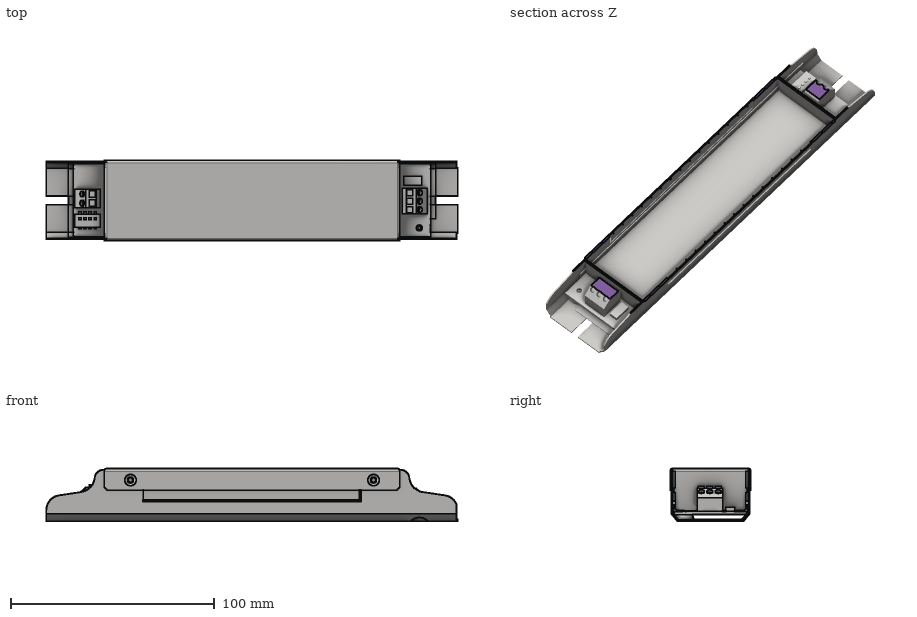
import cadquery as cq
import math

overall_length = 202.0
height = 26.0
cover_width = 39.5
cover_length = 145.0
cover_sheet = 0.6
cover_bend_radius = 1.3
cover_side_bottom = 15.3
cover_side_corner = 1.5
end_wall_sheet = 1.2
end_wall_bottom = 5.3
end_wall_half_width = 17.4
end_wall_corner = 1.0
end_ear_half_height = 1.3
margin_setback = 0.6
margin_bottom = 10.0

tray_sheet = 0.7
tray_bend_width = 3.1
tray_bend_height = 3.7
floor_lip = 0.6
mount_slot_width = 4.1
mount_slot_overlap = 2.0

liner_length = 180.2
liner_sheet = 0.4
liner_top = 8.2
liner_relief_start = 75.8
liner_relief_edge = -8.9

board_length = 175.4
board_width = 35.8
board_bottom = 3.3
board_sheet = 1.6

screw_spacing = 119.3
screw_height = 20.3
screw_head_diameter = 5.6
screw_hole_diameter = 2.9
screw_tip_diameter = 2.2
screw_tip_depth = 0.4

window_half_length = 53.4
window_bottom = 9.7
window_overlap = 1.0
panel_gap = 0.7
panel_recess = 0.3

earth_x = 82.1
earth_y = -13.5
earth_base_radius = 5.8
earth_top_radius = 4.6
earth_pilot_diameter = 1.8
earth_pilot_depth = 0.35

left_connector_outer = -86.9
left_connector_inner = -74.5
output_y_limits = (-3.6, 5.4)
output_top = 16.8
output_poles = 2
right_connector_outer = 85.9
right_connector_inner = 73.7
mains_y_limits = (-6.6, 5.9)
mains_top = 16.2
mains_poles = 3

tray_half = cover_width / 2 - cover_sheet
tray_end = overall_length / 2
tray_wall_right = tray_end - floor_lip
cover_end = cover_length / 2
board_top = board_bottom + board_sheet
cover_underside = height - cover_sheet
window_top = cover_side_bottom + window_overlap
wall_inner = tray_half - tray_sheet


def box(x0, x1, y0, y1, z0, z1):
    """Box given by its limits along each axis."""
    return cq.Workplane("XY").box(x1 - x0, y1 - y0, z1 - z0, centered=False).translate((x0, y0, z0))


def tray_envelope(length, offset, top):
    """Solid bar with sloped lower bends, lying 'offset' inside the outer surface of the tray."""
    side = tray_half - offset
    bend_angle = math.atan2(tray_bend_height, tray_bend_width)
    floor_side = tray_half - tray_bend_width - offset * math.tan(bend_angle / 2)
    bend_top = tray_bend_height + offset * math.tan(math.pi / 4 - bend_angle / 2)
    points = [
        (-side, top), (-side, bend_top), (-floor_side, offset),
        (floor_side, offset), (side, bend_top), (side, top),
    ]
    return cq.Workplane("YZ").polyline(points).close().extrude(length / 2, both=True)


def channel(length, offset, sheet, top):
    """U channel of sheet metal following the tray section."""
    return tray_envelope(length, offset, top).cut(tray_envelope(length, offset + sheet, top))


def tray_silhouette():
    """Stepped outline of the tray side walls, swept across the full width."""
    shoulder_start = (tray_end, 5.8)
    shoulder_mid = (tray_end - 2.2, 10.8)
    shoulder_end = (tray_end - 6.0, 12.8)
    sweep_start = (85.0, 14.3)
    sweep_mid = (79.0, 17.2)
    sweep_end = (77.3, 21.2)
    crown_mid = (76.1, 24.0)
    crown_end = (cover_end, cover_underside)

    def left(point):
        return (-point[0], point[1])

    outline = (
        cq.Workplane("XZ")
        .moveTo(-tray_end, 0)
        .lineTo(tray_end, 0)
        .lineTo(*shoulder_start)
        .threePointArc(shoulder_mid, shoulder_end)
        .lineTo(*sweep_start)
        .threePointArc(sweep_mid, sweep_end)
        .threePointArc(crown_mid, crown_end)
        .lineTo(*left(crown_end))
        .threePointArc(left(crown_mid), left(sweep_end))
        .threePointArc(left(sweep_mid), left(sweep_start))
        .lineTo(*left(shoulder_end))
        .threePointArc(left(shoulder_mid), left(shoulder_start))
        .close()
    )
    return outline.extrude(cover_width, both=True)


def make_tray():
    tray = channel(overall_length, 0, tray_sheet, cover_underside).intersect(tray_silhouette())

    lip_half = tray_half - tray_bend_width
    for y0, y1 in ((-tray_half, -lip_half), (lip_half, tray_half)):
        tray = tray.cut(box(tray_wall_right, tray_end, y0, y1, 0, height))

    slot_radius = mount_slot_width / 2
    slot_centre = liner_length / 2 - mount_slot_overlap
    for side in (-1, 1):
        inner, outer = sorted((side * slot_centre, side * tray_end))
        tray = tray.cut(box(inner, outer, -slot_radius, slot_radius, 0, tray_sheet))
        round_end = cq.Workplane("XY").center(side * slot_centre, 0).circle(slot_radius)
        tray = tray.cut(round_end.extrude(tray_sheet))

    for side in (-1, 1):
        outer_face = side * tray_half
        y0, y1 = sorted((outer_face, outer_face - side * tray_sheet))
        tray = tray.cut(box(-window_half_length, window_half_length, y0, y1, window_bottom, window_top))
        y0, y1 = sorted((outer_face - side * panel_recess, outer_face - side * tray_sheet))
        panel_right = window_half_length - panel_gap
        panel_bottom = window_bottom + panel_gap
        tray = tray.union(box(-window_half_length, panel_right, y0, y1, panel_bottom, window_top))
    return tray


def make_liner():
    liner = channel(liner_length, tray_sheet, liner_sheet, liner_top)
    relief = box(liner_relief_start, tray_end, -tray_half, liner_relief_edge, 0, liner_top)
    return liner.cut(relief)


def add_earth_boss(body):
    """Hollow conical boss pressed up from the floor to carry the board."""

    def cone(shrink, top):
        base = cq.Workplane("XY").center(earth_x, earth_y).circle(earth_base_radius - shrink)
        return base.workplane(offset=top).circle(earth_top_radius - shrink).loft()

    boss = cone(0, board_bottom).intersect(tray_envelope(overall_length, 0, height))
    body = body.union(boss)
    body = body.cut(cone(tray_sheet, board_bottom - tray_sheet))
    pilot = cq.Workplane("XY").workplane(offset=board_bottom).center(earth_x, earth_y)
    return body.cut(pilot.circle(earth_pilot_diameter / 2).extrude(-earth_pilot_depth))


def make_end_wall(side):
    """Cover end wall with narrow margins set back along the tray walls."""
    outer = side * cover_end
    inner = outer - side * end_wall_sheet
    x0, x1 = sorted((outer, inner))
    wall_half = end_wall_half_width
    wall = box(x0, x1, -wall_half, wall_half, end_wall_bottom, cover_underside)
    wall = wall.edges("|X and <Z").chamfer(end_wall_corner)

    back0, back1 = sorted((outer - side * margin_setback, inner))
    margin_root = wall_half - cover_sheet

    for y_side in (-1, 1):
        y0, y1 = sorted((y_side * margin_root, y_side * wall_inner))
        wall = wall.union(box(back0, back1, y0, y1, margin_bottom, cover_underside))
        root = y_side * wall_half
        points = [
            (root, cover_side_bottom - end_ear_half_height),
            (y_side * wall_inner, cover_side_bottom),
            (root, cover_side_bottom + end_ear_half_height),
        ]
        ear = cq.Workplane("YZ", origin=(x0, 0, 0)).polyline(points).close().extrude(end_wall_sheet)
        wall = wall.union(ear)
    return wall


def make_cover():
    half = cover_width / 2
    cover = box(-cover_end, cover_end, -half, half, cover_side_bottom, height)
    cover = cover.edges("|Y and <Z").chamfer(cover_side_corner)
    cover = cover.faces(">Z").edges().fillet(cover_bend_radius)
    cavity_end = cover_end - end_wall_sheet
    mouth_top = height - cover_bend_radius
    cover = cover.cut(box(-cover_end, cover_end, -tray_half, tray_half, 0, mouth_top))
    cover = cover.cut(box(-cavity_end, cavity_end, -tray_half, tray_half, 0, cover_underside))
    for side in (-1, 1):
        end_wall = make_end_wall(side).intersect(box(-cover_end, cover_end, -half, half, 0, mouth_top))
        cover = cover.union(end_wall)
    return cover


def cut_cover_screws(body):
    """Countersunk fixing points through the cover flanges into both tray walls."""
    for side in (-1, 1):
        for x in (-screw_spacing / 2, screw_spacing / 2):
            outer = cq.Vector(x, side * cover_width / 2, screw_height)
            inward = cq.Vector(0, -side, 0)
            sink = cq.Solid.makeCone(
                screw_head_diameter / 2, screw_hole_diameter / 2, cover_sheet, outer, inward
            )
            tip = cq.Solid.makeCylinder(
                screw_tip_diameter / 2, cover_sheet + screw_tip_depth, outer, inward
            )
            body = body.cut(cq.Workplane(sink)).cut(cq.Workplane(tip))
    return body


def make_board():
    half = board_width / 2
    board = box(-board_length / 2, board_length / 2, -half, half, board_bottom, board_top)
    hole = cq.Workplane("XY").workplane(offset=board_bottom).center(earth_x, earth_y)
    return board.cut(hole.circle(screw_hole_diameter / 2).extrude(board_sheet))


def make_terminal(outer_x, inner_x, y_limits, top, poles):
    """Terminal block with a sloped wire-entry face towards the housing end and a bevelled rear edge."""
    entry_top = 11.7
    slope_run = 5.4
    rear_run = 1.9
    rear_drop = 2.5
    button_height = 1.1
    entry_fraction = 0.65
    entry_diameter = 2.9
    entry_depth = 2.0
    button_length = 3.0
    button_setback = 1.6
    button_share = 0.7

    side = 1 if outer_x > 0 else -1
    y0, y1 = y_limits
    slope_end = outer_x - side * slope_run
    rear_x = inner_x + side * rear_run
    points = [
        (outer_x, board_top), (outer_x, entry_top), (slope_end, top), (rear_x, top),
        (inner_x, top - rear_drop), (inner_x, board_top),
    ]
    block = cq.Workplane("XZ", origin=(0, y1, 0)).polyline(points).close().extrude(y1 - y0)

    pitch = (y1 - y0) / poles
    button_half = pitch * button_share / 2
    rise = top - entry_top
    slope_x = outer_x - side * slope_run * entry_fraction
    slope_z = entry_top + rise * entry_fraction
    for pole in range(poles):
        y = y0 + (pole + 0.5) * pitch
        entry = cq.Solid.makeCylinder(
            entry_diameter / 2, entry_depth, cq.Vector(slope_x, y, slope_z),
            cq.Vector(-side * rise, 0, -slope_run),
        )
        block = block.cut(cq.Workplane(entry))
        button_start = slope_end - side * button_setback
        x0, x1 = sorted((button_start, button_start - side * button_length))
        block = block.union(box(x0, x1, y - button_half, y + button_half, top, top + button_height))
    return block


def make_dip_switch():
    """Switch body with four legs along each side and four sliders on top."""
    x0, x1 = left_connector_outer, left_connector_inner
    y0, y1 = -13.2, -6.9
    top = 9.4
    leg_count = 4
    leg_pitch = 2.5
    leg_width = 1.2
    leg_top = 7.4
    long_leg = 1.3
    short_leg = 0.6
    slider_y = -9.1
    slider_half = 0.5
    slider_height = 0.9

    switch = box(x0, x1, y0, y1, board_top, top)
    first_leg = (x0 + x1) / 2 - leg_pitch * (leg_count - 1) / 2
    for index in range(leg_count):
        left = first_leg + index * leg_pitch - leg_width / 2
        right = left + leg_width
        switch = switch.union(box(left, right, y0 - short_leg, y1 + long_leg, board_top, leg_top))
        switch = switch.union(
            box(left, right, slider_y - slider_half, slider_y + slider_half, top, top + slider_height)
        )
    return switch


def make_chip():
    """Flat rectangular component beside the three-pole terminal."""
    chip_height = 2.0
    chip_left, chip_right = 74.5, 83.3
    chip_front, chip_back = 7.5, 11.9
    return box(chip_left, chip_right, chip_front, chip_back, board_top, board_top + chip_height)


housing = make_tray().union(make_liner())
housing = add_earth_boss(housing)
housing = cut_cover_screws(housing.union(make_cover()))

output_terminal = make_terminal(
    left_connector_outer, left_connector_inner, output_y_limits, output_top, output_poles
)
mains_terminal = make_terminal(
    right_connector_outer, right_connector_inner, mains_y_limits, mains_top, mains_poles
)

result = (
    housing
    .union(make_board())
    .union(output_terminal)
    .union(mains_terminal)
    .union(make_dip_switch())
    .union(make_chip())
)